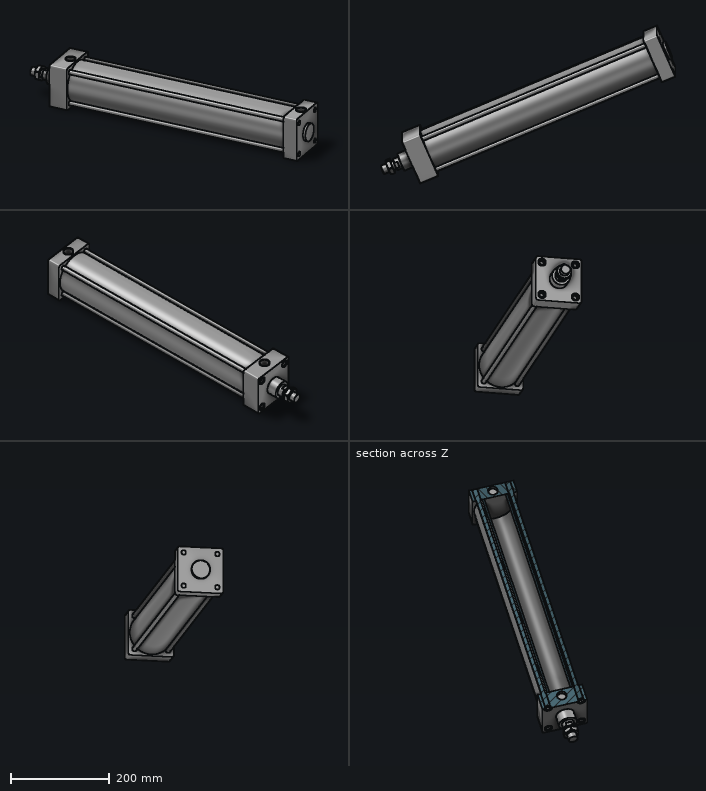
import cadquery as cq
import math


CAP_SIZE = 95.0
CAP_EDGE_RADIUS = 4.5
FRONT_CAP_X = 63.5
FRONT_CAP_LENGTH = 40.0
REAR_CAP_X = 598.0
REAR_CAP_LENGTH = 30.0
OVERALL_LENGTH = 634.0
COLLAR_DIAMETER = 38.0
COLLAR_X = 41.0

TUBE_DIAMETER = 89.0
BORE_DIAMETER = 82.5

TIE_ROD_DIAMETER = 9.5
TIE_ROD_PITCH = 70.0
TIE_ROD_SETBACK = 6.5

HOLE_DIAMETER = 11.0
HOLE_STEP_DIAMETER = 14.0
HOLE_STEP_DEPTH = 1.0
HOLE_MOUTH_DIAMETER = 16.0
HOLE_MOUTH_DEPTH = 0.5

PORT_DIAMETER = 19.0
PORT_MOUTH_DIAMETER = 21.0
PORT_MOUTH_DEPTH = 1.0
PORT_DEPTH = 19.0
FRONT_PORT_X = 87.5
REAR_PORT_X = 614.0

ROD_DIAMETER = 25.5
ROD_CHAMFER = 1.0
THREAD_DIAMETER = 19.0
SHOULDER_X = 28.0
FLATS_END_X = 35.5
FLATS_WIDTH = 22.0

NUT_X = 12.5
NUT_THICKNESS = 9.5
NUT_ACROSS_FLATS = 29.0
NUT_CORNER_DIAMETER = 33.0
NUT_CHAMFER = 2.0

TUBE_X = FRONT_CAP_X + FRONT_CAP_LENGTH
REAR_FACE_X = REAR_CAP_X + REAR_CAP_LENGTH
TIE_ROD_FRONT_X = FRONT_CAP_X + TIE_ROD_SETBACK
TIE_ROD_OFFSETS = (-TIE_ROD_PITCH / 2, TIE_ROD_PITCH / 2)
TIE_ROD_PLACES = [(y, z) for y in TIE_ROD_OFFSETS for z in TIE_ROD_OFFSETS]


def cylinder(diameter, x_start, x_end, y=0.0, z=0.0):
    """Cylinder along X between two X positions."""
    return cq.Workplane("YZ", origin=(x_start, y, z)).circle(diameter / 2).extrude(x_end - x_start)


def cap_block(x_start, length):
    """Square end block with its four long edges rounded."""
    block = cq.Workplane("YZ", origin=(x_start, 0, 0)).rect(CAP_SIZE, CAP_SIZE).extrude(length)
    return block.edges("|X").fillet(CAP_EDGE_RADIUS)


def port(x):
    """Blind port entering from the top face, with a shallow wider mouth."""
    top = cq.Workplane("XY", origin=(x, 0, CAP_SIZE / 2))
    bore = top.circle(PORT_DIAMETER / 2).extrude(-PORT_DEPTH)
    return bore.union(top.circle(PORT_MOUTH_DIAMETER / 2).extrude(-PORT_MOUTH_DEPTH))


def corner_hole(y, z):
    """Stepped hole from the front face down to the tie rod end."""
    steps = [
        (HOLE_MOUTH_DIAMETER, HOLE_MOUTH_DEPTH),
        (HOLE_STEP_DIAMETER, HOLE_STEP_DEPTH),
        (HOLE_DIAMETER, TIE_ROD_SETBACK),
    ]
    hole = cylinder(TIE_ROD_DIAMETER, FRONT_CAP_X, TUBE_X, y, z)
    for diameter, depth in steps:
        hole = hole.union(cylinder(diameter, FRONT_CAP_X, FRONT_CAP_X + depth, y, z))
    return hole


def make_front_cap():
    cap = cap_block(FRONT_CAP_X, FRONT_CAP_LENGTH)
    cap = cap.union(cylinder(COLLAR_DIAMETER, COLLAR_X, FRONT_CAP_X))
    cap = cap.cut(port(FRONT_PORT_X))
    cap = cap.cut(cylinder(ROD_DIAMETER, COLLAR_X, TUBE_X))
    for y, z in TIE_ROD_PLACES:
        cap = cap.cut(corner_hole(y, z))
    return cap


def make_rear_cap():
    cap = cap_block(REAR_CAP_X, REAR_CAP_LENGTH)
    cap = cap.union(cylinder(COLLAR_DIAMETER, REAR_FACE_X, OVERALL_LENGTH))
    cap = cap.cut(port(REAR_PORT_X))
    for y, z in TIE_ROD_PLACES:
        cap = cap.cut(cylinder(TIE_ROD_DIAMETER, REAR_CAP_X, REAR_FACE_X, y, z))
    return cap


def make_tube():
    outside = cylinder(TUBE_DIAMETER, TUBE_X, REAR_CAP_X)
    return outside.cut(cylinder(BORE_DIAMETER, TUBE_X, REAR_CAP_X))


def make_tie_rod(y, z):
    """Rod from its front hole to the rear face."""
    return cylinder(TIE_ROD_DIAMETER, TIE_ROD_FRONT_X, REAR_FACE_X, y, z)


def make_piston_rod():
    """Rod through the front cap, with two wrench flats and a threaded nose."""
    shank = cylinder(ROD_DIAMETER, SHOULDER_X, TUBE_X).faces("<X").chamfer(ROD_CHAMFER)
    flats_length = FLATS_END_X - SHOULDER_X
    flats_section = cq.Workplane("YZ", origin=(SHOULDER_X, 0, 0)).rect(ROD_DIAMETER, FLATS_WIDTH)
    envelope = flats_section.extrude(flats_length).union(cylinder(ROD_DIAMETER, FLATS_END_X, TUBE_X))
    return shank.intersect(envelope).union(cylinder(THREAD_DIAMETER, 0, SHOULDER_X))


def make_nut():
    """Hexagon nut with two corners up and down, its corners turned off and bevelled in front."""
    nut_end = NUT_X + NUT_THICKNESS
    sharp_corners = NUT_ACROSS_FLATS / math.cos(math.pi / 6)
    section = cq.Workplane("YZ", origin=(NUT_X, 0, 0)).transformed(rotate=(0, 0, 90))
    hexagon = section.polygon(6, sharp_corners).extrude(NUT_THICKNESS)
    turned = cylinder(NUT_CORNER_DIAMETER, NUT_X, nut_end).faces("<X").chamfer(NUT_CHAMFER)
    return hexagon.intersect(turned).cut(cylinder(THREAD_DIAMETER, NUT_X, nut_end))


front_cap = make_front_cap()
rear_cap = make_rear_cap()
tube = make_tube()
tie_rods = [make_tie_rod(y, z) for y, z in TIE_ROD_PLACES]
piston_rod = make_piston_rod()
nut = make_nut()

result = cq.Compound.makeCompound([
    front_cap.val(),
    rear_cap.val(),
    tube.val(),
    *[tie_rod.val() for tie_rod in tie_rods],
    piston_rod.val(),
    nut.val(),
])